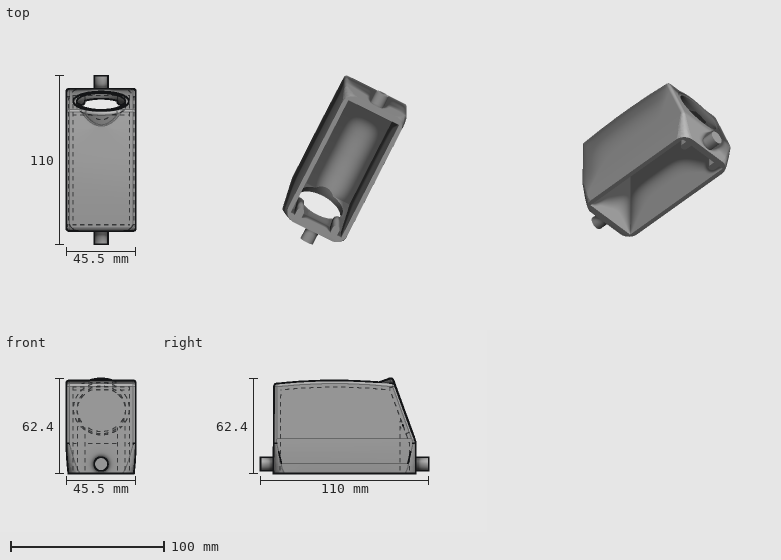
import cadquery as cq
import math

length = 93.1
width = 45.5
half_length = length / 2
half_width = width / 2
wall = 4.3
foot_draw_in = 1.3
taper_draw_in = 0.7
taper_top = 6.9
flare_top = 23.2
front_draft = 0.4

roof_peak = 60.9
roof_peak_y = -6.6
roof_radius = 346.5
slope_angle = 20.0
slope_start = 20.6
knee_radius = 11.0
edge_radius = 2.0

corner_sections = [(0, 7.7), (taper_top, 5.2), (14.3, 3.4), (19.8, edge_radius)]

entry_y = 38.5
collar_radius = 21.5
collar_length = 26.4
collar_root_radius = 2.0
bore_diameter = 31.7
seat_diameter = 36.4
seat_depth = 0.3

pin_span = 110.0
pin_diameter = 9.0
pin_height = 6.3
lug_x = 13.0
lug_y = 38.3
lug_radius = 2.4

slope = math.tan(math.radians(slope_angle))
high = 2 * roof_peak
settling_steps = 5
entry_z = slope_start + (half_length - entry_y) / slope


def slope_y(z):
    return half_length - (z - slope_start) * slope


def roof_z(y):
    return roof_peak - roof_radius + math.sqrt(roof_radius**2 - (y - roof_peak_y) ** 2)


def side_half_width(z):
    """Half width of the hood between the foot and the top of the flare."""
    if z <= taper_top:
        return half_width - foot_draw_in + (foot_draw_in - taper_draw_in) * z / taper_top
    if z >= flare_top:
        return half_width
    return half_width - taper_draw_in * ((flare_top - z) / (flare_top - taper_top)) ** 2


def length_profile(inset):
    """Side outline, offset inwards by inset, extruded across the width."""
    front = -half_length + inset
    roof_front = front + front_draft
    back = half_length - inset
    slope_shift = inset / math.cos(math.radians(slope_angle))
    roof_back = slope_y(roof_peak) - slope_shift
    for _ in range(settling_steps):
        roof_back = slope_y(roof_z(roof_back) - inset) - slope_shift
    knee = slope_start - (slope_shift - inset) / slope
    return (
        cq.Workplane("YZ")
        .moveTo(front, 0)
        .lineTo(back, 0)
        .lineTo(back, knee)
        .lineTo(roof_back, roof_z(roof_back) - inset)
        .threePointArc((roof_peak_y, roof_peak - inset), (roof_front, roof_z(roof_front) - inset))
        .close()
        .extrude(half_width - inset, both=True)
    )


def width_profile():
    middle = (taper_top + flare_top) / 2
    return (
        cq.Workplane("XZ")
        .moveTo(-side_half_width(0), 0)
        .lineTo(side_half_width(0), 0)
        .lineTo(side_half_width(taper_top), taper_top)
        .threePointArc((side_half_width(middle), middle), (half_width, flare_top))
        .lineTo(half_width, high)
        .lineTo(-half_width, high)
        .lineTo(-half_width, flare_top)
        .threePointArc((-side_half_width(middle), middle), (-side_half_width(taper_top), taper_top))
        .close()
        .extrude(length, both=True)
    )


def foot_corner_cutter(lean):
    """Material outside the rounded +X +Y foot corner, on an end wall leaning in by lean at the roof."""
    margin = 1.1
    wires = []
    for z, radius in corner_sections:
        x = side_half_width(z)
        y = half_length - lean * z / roof_peak
        inset = radius * (1 - math.sqrt(0.5))
        section = (
            cq.Workplane("XY", origin=(0, 0, z))
            .moveTo(x - radius, y)
            .threePointArc((x - inset, y - inset), (x, y - radius))
            .lineTo(x + margin, y - radius)
            .lineTo(x + margin, y + margin)
            .lineTo(x - radius, y + margin)
            .close()
        )
        wires.append(section.val())
    return cq.Workplane(cq.Solid.makeLoft(wires))


def entry_cylinder(radius, inward, outward=0.0):
    """Cylinder square to the sloped face, reaching inwards and outwards from it."""
    face = cq.Plane(
        origin=(0, entry_y, entry_z),
        xDir=(1, 0, 0),
        normal=(0, math.cos(math.radians(slope_angle)), math.sin(math.radians(slope_angle))),
    )
    return cq.Workplane(face).workplane(offset=-inward).circle(radius).extrude(inward + outward)


def foot_corner_cutters():
    """Cutters for all four foot corners."""
    right_pair = foot_corner_cutter(0).union(foot_corner_cutter(front_draft).mirror("XZ"))
    return right_pair.union(right_pair.mirror("YZ"))


def cavity():
    """Open inside space, leaving the corner lugs against the +Y wall."""
    space = length_profile(wall)
    for side in (-1, 1):
        lug_height = roof_peak - wall
        lug = cq.Workplane("XY").center(side * lug_x, lug_y).circle(lug_radius).extrude(lug_height)
        web_length = half_length - lug_y
        web = (
            cq.Workplane("XY")
            .center(side * lug_x, lug_y + web_length / 2)
            .rect(2 * lug_radius, web_length)
            .extrude(lug_height)
        )
        space = space.cut(lug).cut(web)
    return space


def pins():
    """Locking pins standing out of both end walls."""
    full_bar = (
        cq.Workplane("XZ")
        .center(0, pin_height)
        .circle(pin_diameter / 2)
        .extrude(pin_span / 2, both=True)
    )
    gap = cq.Workplane("XY").box(width, length - 2 * wall, high)
    return full_bar.cut(gap)


knee_edge = cq.selectors.NearestToPointSelector((0, half_length, slope_start))
body = length_profile(0).edges(knee_edge).fillet(knee_radius)
upper_space = cq.Workplane("XY", origin=(0, 0, entry_z)).rect(2 * width, 2 * length).extrude(high)
collar = entry_cylinder(collar_radius, collar_length).intersect(upper_space)
body = body.union(collar)
roof_behind_collar = (0, entry_y - collar_radius, roof_peak)
root_edge = cq.selectors.NearestToPointSelector(roof_behind_collar)
body = body.edges(root_edge).fillet(collar_root_radius)

above_knee = cq.selectors.BoxSelector(
    (-width, -length, slope_start + knee_radius / 2), (width, length, high)
)
root_zone = cq.selectors.BoxSelector(
    (-collar_radius, 0, slope_start), (collar_radius, slope_y(roof_peak) - collar_root_radius, high)
)
body = body.edges(above_knee - root_zone).fillet(edge_radius)
body = body.intersect(width_profile()).cut(foot_corner_cutters())

body = body.cut(cavity())
body = body.cut(entry_cylinder(bore_diameter / 2, wall * 2, wall))
body = body.cut(entry_cylinder(seat_diameter / 2, seat_depth, wall))
result = body.union(pins())